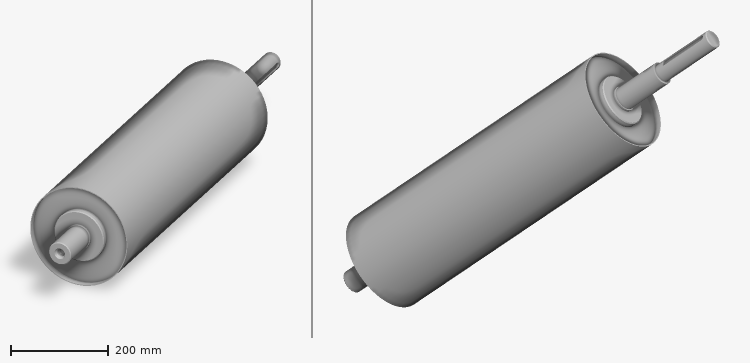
import cadquery as cq
import math

drum_diameter = 219.0
drum_bore = 215.0
drum_length = 700.0
plate_recess = 15.0

hub_diameter = 112.0
hub_chamfer = 2.0
collar_diameter = 55.0
collar_overhang = 5.0

total_length = 1060.0
shaft_diameter = 50.0
front_shaft_length = 95.0
journal_diameter = 40.0
journal_length = 150.0
end_chamfer = 2.0

key_width = 12.0
key_depth = 5.0
key_length = 120.0
key_end_gap = 10.0

countersink_diameter = 24.0
countersink_angle = 60.0
relief_diameter = 17.0
relief_depth = 13.0
centre_bore_diameter = 13.84
centre_bore_depth = 42.0
drill_point_angle = 118.0

shaft_front = -front_shaft_length
shaft_rear = shaft_front + total_length
shoulder = shaft_rear - journal_length


def cylinder(diameter, start, end):
    """Solid cylinder on the Y axis between two Y positions."""
    start_plane = cq.Workplane("XZ", origin=(0, start, 0))
    return start_plane.circle(diameter / 2).extrude(start - end)


def make_drum():
    """Drum with recessed ends, hubs and collars, solid inside."""
    drum = cylinder(drum_diameter, 0, drum_length)
    drum = drum.cut(cylinder(drum_bore, 0, plate_recess))
    drum = drum.cut(cylinder(drum_bore, drum_length - plate_recess, drum_length))
    hubs = cylinder(hub_diameter, 0, drum_length)
    hubs = hubs.faces("<Y or >Y").chamfer(hub_chamfer)
    collars = cylinder(collar_diameter, -collar_overhang, drum_length + collar_overhang)
    return drum.union(hubs).union(collars)


def make_shaft():
    """Stepped shaft with both outer ends chamfered."""
    main_shaft = cylinder(shaft_diameter, shaft_front, shoulder).faces("<Y").chamfer(end_chamfer)
    journal = cylinder(journal_diameter, shoulder, shaft_rear).faces(">Y").chamfer(end_chamfer)
    return main_shaft.union(journal)


def make_keyway():
    """Round-ended cutter for the keyway."""
    key_floor = journal_diameter / 2 - key_depth
    key_centre = shaft_rear - key_end_gap - key_length / 2
    floor_plane = cq.Workplane("YZ", origin=(key_floor, key_centre, 0))
    return floor_plane.slot2D(key_length, key_width).extrude(journal_diameter / 2)


def cone_length(large_diameter, small_diameter, included_angle):
    """Axial length of a cone between two diameters."""
    return (large_diameter - small_diameter) / 2 / math.tan(math.radians(included_angle / 2))


def make_centre_hole():
    """Revolved cutter for the centre hole."""
    countersink_depth = cone_length(countersink_diameter, relief_diameter, countersink_angle)
    tip_length = cone_length(centre_bore_diameter, 0, drill_point_angle)
    bore_end = shaft_front + centre_bore_depth
    half_profile = (
        cq.Workplane("XY")
        .moveTo(0, shaft_front)
        .lineTo(countersink_diameter / 2, shaft_front)
        .lineTo(relief_diameter / 2, shaft_front + countersink_depth)
        .lineTo(relief_diameter / 2, shaft_front + relief_depth)
        .lineTo(centre_bore_diameter / 2, shaft_front + relief_depth)
        .lineTo(centre_bore_diameter / 2, bore_end)
        .lineTo(0, bore_end + tip_length)
        .close()
    )
    return half_profile.revolve(360, (0, 0, 0), (0, 1, 0))


result = make_drum().union(make_shaft()).cut(make_keyway()).cut(make_centre_hole())